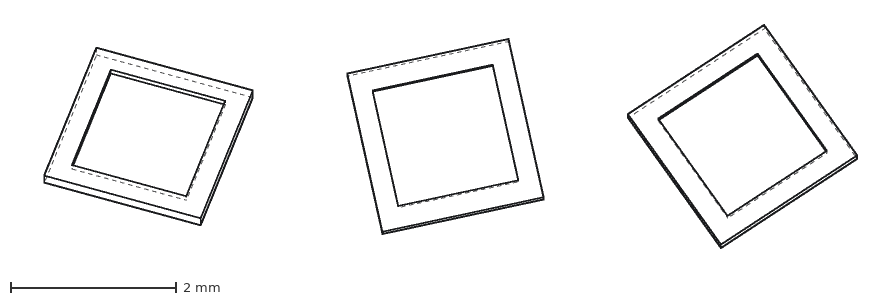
import cadquery as cq

plate_side = 2.0
plate_thickness = 0.15

pocket_length_x = 1.46
pocket_length_y = 1.49
pocket_depth = 0.08


def make_plate():
    """Square plate centred on X and Y, standing on Z = 0."""
    return cq.Workplane("XY").box(
        plate_side, plate_side, plate_thickness, centered=(True, True, False)
    )


def cut_pocket(plate):
    """Sink the pocket into the top face, leaving a flat floor and a raised rim."""
    return (
        plate.faces(">Z")
        .workplane()
        .rect(pocket_length_x, pocket_length_y)
        .cutBlind(-pocket_depth)
    )


result = cut_pocket(make_plate())